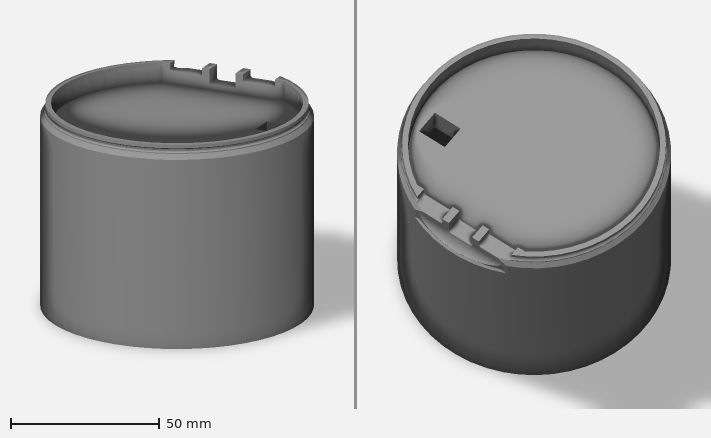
import cadquery as cq

height = 72.1
body_radius = 46.2

rim_radius = 44.4
rim_depth = 1.2
groove_radius = 43.8
groove_top_depth = 1.7
groove_bottom_depth = 2.2
collar_radius = 44.8
collar_top_depth = 2.7
collar_bottom_depth = 3.05
shoulder_depth = 4.7

recess_radius = 42.5
recess_depth = 7.4
recess_flat_y = 36.0
cavity_radius = 78.9 / 2
floor_thickness = 9.2

back_flat_y = 42.0
runout_radius = 3.7
runout_start_depth = 5.0
runout_bevel_width = 0.8
runout_bevel_drop = 0.65
runout_end_depth = runout_start_depth + runout_radius

middle_notch_width = 9.7
side_notch_width = 12.0
rib_width = 2.8
middle_notch_depth = 5.5
side_notch_depth = 3.0
notch_fillet = 0.9

window_x_min = 26.6
window_width = 10.7
window_y_min = 5.5
window_length = 9.1

margin = 0.9


def turned_body():
    """Cylinder with a stepped, grooved neck."""
    return (
        cq.Workplane("XZ")
        .moveTo(0, 0)
        .lineTo(body_radius, 0)
        .lineTo(body_radius, height - shoulder_depth)
        .lineTo(collar_radius, height - collar_bottom_depth)
        .lineTo(collar_radius, height - collar_top_depth)
        .lineTo(groove_radius, height - groove_bottom_depth)
        .lineTo(groove_radius, height - groove_top_depth)
        .lineTo(rim_radius, height - rim_depth)
        .lineTo(rim_radius, height)
        .lineTo(0, height)
        .close()
        .revolve(360, (0, 0, 0), (0, 1, 0))
    )


def top_recess():
    """Round recess cut off by a straight wall at the back."""
    floor_z = height - recess_depth
    disc = cq.Workplane("XY").workplane(offset=floor_z).circle(recess_radius).extrude(recess_depth + margin)
    limit = cq.Workplane("XY").box(
        2 * body_radius, recess_flat_y + body_radius, height + margin, centered=(True, False, False)
    )
    return disc.intersect(limit.translate((0, -body_radius, margin)))


def bottom_cavity():
    cavity_height = height - recess_depth - floor_thickness
    return cq.Workplane("XY").circle(cavity_radius).extrude(cavity_height)


def back_flat():
    """Cutter for the back flat and its concave run-out."""
    arc_end_y = back_flat_y + runout_radius
    arc_end_z = height - runout_end_depth
    return (
        cq.Workplane("YZ")
        .moveTo(back_flat_y, height + margin)
        .lineTo(back_flat_y, height - runout_start_depth)
        .radiusArc((arc_end_y, arc_end_z), -runout_radius)
        .lineTo(body_radius + margin, arc_end_z)
        .lineTo(body_radius + margin, height + margin)
        .close()
        .extrude(body_radius, both=True)
    )


def runout_bevel():
    """Conical bevel around the outer edge of the run-out, behind the flat only."""
    inner_radius = body_radius - runout_bevel_width
    top_z = height - runout_start_depth
    ring = (
        cq.Workplane("XZ")
        .moveTo(inner_radius, top_z)
        .lineTo(inner_radius, height - runout_end_depth)
        .lineTo(body_radius, height - runout_end_depth - runout_bevel_drop)
        .lineTo(body_radius + margin, height - runout_end_depth - runout_bevel_drop)
        .lineTo(body_radius + margin, top_z)
        .close()
        .revolve(360, (0, 0, 0), (0, 1, 0))
    )
    behind_flat = (
        cq.Workplane("XY")
        .box(2 * body_radius, body_radius, height, centered=(True, False, False))
        .translate((0, back_flat_y, 0))
    )
    return ring.intersect(behind_flat)


def notch(center_x, width, depth):
    """Slot across the back wall with rounded bottom corners."""
    length = body_radius - recess_flat_y + 2 * margin
    return (
        cq.Workplane("XY")
        .box(width, length, depth + margin, centered=(True, False, False))
        .edges("|Y and <Z")
        .fillet(notch_fillet)
        .translate((center_x, recess_flat_y - margin, height - depth))
    )


def window():
    """Cut only through the floor, leaving the cavity wall below intact."""
    return (
        cq.Workplane("XY")
        .box(window_width, window_length, floor_thickness, centered=False)
        .translate((window_x_min, window_y_min, height - recess_depth - floor_thickness))
    )


result = turned_body().cut(top_recess()).cut(bottom_cavity()).cut(back_flat()).cut(runout_bevel())

result = result.cut(notch(0, middle_notch_width, middle_notch_depth))
side_notch_x = (middle_notch_width + side_notch_width) / 2 + rib_width
for side in (-1, 1):
    result = result.cut(notch(side * side_notch_x, side_notch_width, side_notch_depth))

result = result.cut(window())